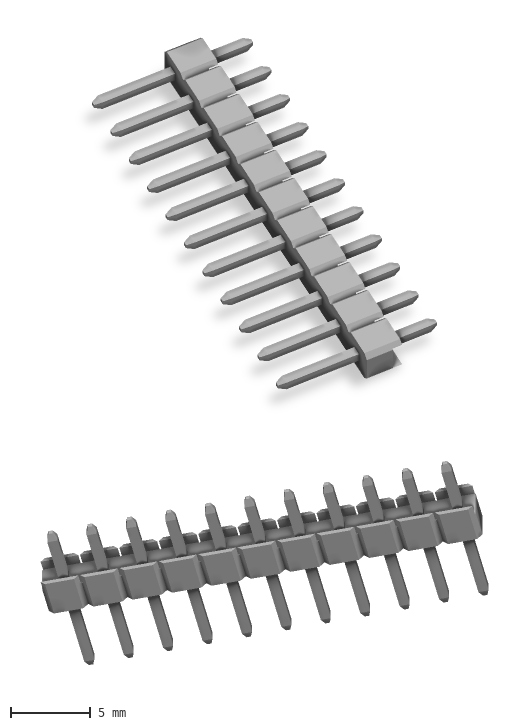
import cadquery as cq

pin_count = 11
body_length = 27.95
body_height = 2.5
body_depth = 2.51
pitch = body_length / pin_count

bevel = 0.34

lip_thickness = 0.28
channel_depth = 0.67

pin_width = 0.65
tip_width = 0.28
tip_length = 0.5
pin_front_reach = 5.62
pin_back_reach = 3.07
pin_offset = -0.15


def position_center(index):
    """X of the middle of one pin position."""
    return (index - (pin_count - 1) / 2) * pitch


def make_body_position(index):
    """One bevelled block; neighbouring bevels meet as a V-notch."""
    block = cq.Workplane("XY").box(pitch, body_depth, body_height)
    block = block.edges("|Y").chamfer(bevel)
    return block.translate((position_center(index), body_depth / 2, 0))


def make_channel():
    """Cutter for the channel that runs the whole length of the back face."""
    channel_height = body_height - 2 * lip_thickness
    channel = cq.Workplane("XY").box(body_length, channel_depth, channel_height)
    return channel.translate((0, body_depth - channel_depth / 2, 0))


def make_tip(shoulder_y, direction):
    """Tapered tip that starts at shoulder_y and points along direction (+1 or -1) in Y."""
    shoulder = cq.Plane(origin=(0, shoulder_y, 0), xDir=(1, 0, 0), normal=(0, direction, 0))
    return (
        cq.Workplane(shoulder)
        .rect(pin_width, pin_width)
        .workplane(offset=tip_length)
        .rect(tip_width, tip_width)
        .loft(ruled=True)
    )


def make_pin():
    """Full pin at X = 0, passing through the body."""
    front_shoulder = tip_length - pin_front_reach
    back_shoulder = body_depth + pin_back_reach - tip_length
    shank_length = back_shoulder - front_shoulder
    shank = cq.Workplane("XY").box(pin_width, shank_length, pin_width)
    shank = shank.translate((0, (front_shoulder + back_shoulder) / 2, 0))
    return shank.union(make_tip(front_shoulder, -1)).union(make_tip(back_shoulder, 1))


body = make_body_position(0)
for index in range(1, pin_count):
    body = body.union(make_body_position(index))
body = body.cut(make_channel())

pin = make_pin()
result = body
for index in range(pin_count):
    result = result.union(pin.translate((position_center(index) + pin_offset, 0, 0)))